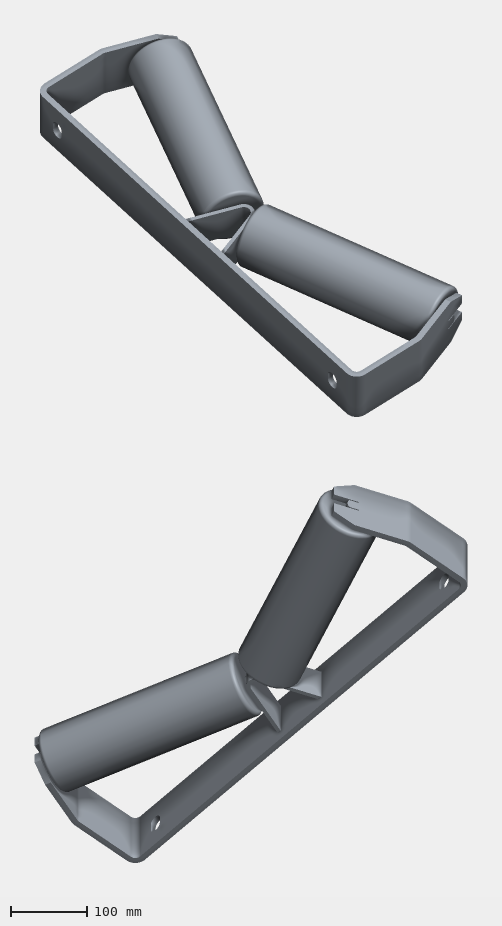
import cadquery as cq
import math


TILT = 20.0
SIN = math.sin(math.radians(TILT))
COS = math.cos(math.radians(TILT))

FRAME_LENGTH = 660.0
STRAP_WIDTH = 80.0
STRAP_THICKNESS = 8.5
BEND_INNER = STRAP_THICKNESS
BEND_OUTER = BEND_INNER + STRAP_THICKNESS
ARM_BEND_Y = 109.0
ARM_TIP_Y = 212.0
TIP_CUT_LENGTH = 29.0
TIP_CUT_WIDTH = 15.0
ARM_SLOT_WIDTH = 17.0
MOUNT_SLOT_X = 283.0
MOUNT_SLOT_WIDTH = 18.0
MOUNT_SLOT_HEIGHT = 27.0

WEDGE_WIDTH = 50.0
WEDGE_THICKNESS = 5.0
WEDGE_TOP_Y = 98.0
WEDGE_OUTER = 14.5
WEDGE_INNER = WEDGE_OUTER - WEDGE_THICKNESS
WEDGE_BEND_Y = WEDGE_TOP_Y - WEDGE_OUTER

ROLLER_DIAMETER = 89.0
ROLLER_FILLET = 5.0
ROLLER_GAP = 3.6
SHAFT_DIAMETER = 20.0
SHAFT_FLATS = 14.0
SHAFT_FROM_TIP = 29.0

HALF_LENGTH = FRAME_LENGTH / 2
BEND_X = HALF_LENGTH - BEND_OUTER
ARM_BEND_OUT = (BEND_X + BEND_OUTER * COS, ARM_BEND_Y + BEND_OUTER * SIN)
ARM_LENGTH = (ARM_TIP_Y - ARM_BEND_OUT[1]) / COS
ARM_TIP = (ARM_BEND_OUT[0] - ARM_LENGTH * SIN, ARM_TIP_Y)
SHAFT_END = (ARM_TIP[0] + SHAFT_FROM_TIP * SIN, ARM_TIP[1] - SHAFT_FROM_TIP * COS)

WEDGE_DISTANCE = SHAFT_END[0] * COS + (SHAFT_END[1] - WEDGE_BEND_Y) * SIN - WEDGE_OUTER
SHAFT_LENGTH = WEDGE_DISTANCE + WEDGE_THICKNESS
ROLLER_START = STRAP_THICKNESS + ROLLER_GAP
ROLLER_LENGTH = WEDGE_DISTANCE - ROLLER_START - ROLLER_GAP

SHAFT_PLANE = cq.Plane(
    origin=(SHAFT_END[0], SHAFT_END[1], 0),
    xDir=(-SIN, COS, 0),
    normal=(-COS, -SIN, 0),
)


def mirrored(body):
    return body.mirror("YZ")


def polar(centre, radius, degrees):
    angle = math.radians(degrees)
    return (centre[0] + radius * math.cos(angle), centre[1] + radius * math.sin(angle))


def flatted_bar(length, across_flats):
    """Bar of the shaft's diameter with two flats, starting at the outer face of the right arm."""
    bar = cq.Workplane(SHAFT_PLANE).circle(SHAFT_DIAMETER / 2).extrude(length)
    flats = cq.Workplane(SHAFT_PLANE).rect(SHAFT_DIAMETER, across_flats).extrude(length)
    return bar.intersect(flats)


def half_strap():
    """Right half of the bent strap, without openings."""
    corner = (BEND_X, BEND_OUTER)
    arm_bend = (BEND_X, ARM_BEND_Y)
    tip_inner = (ARM_TIP[0] - STRAP_THICKNESS * COS, ARM_TIP[1] - STRAP_THICKNESS * SIN)
    return (
        cq.Workplane("XY", origin=(0, 0, -STRAP_WIDTH / 2))
        .moveTo(0, 0)
        .lineTo(BEND_X, 0)
        .threePointArc(polar(corner, BEND_OUTER, -45), (HALF_LENGTH, BEND_OUTER))
        .lineTo(HALF_LENGTH, ARM_BEND_Y)
        .threePointArc(polar(arm_bend, BEND_OUTER, TILT / 2), ARM_BEND_OUT)
        .lineTo(*ARM_TIP)
        .lineTo(*tip_inner)
        .lineTo(*polar(arm_bend, BEND_INNER, TILT))
        .threePointArc(polar(arm_bend, BEND_INNER, TILT / 2), (BEND_X + BEND_INNER, ARM_BEND_Y))
        .lineTo(BEND_X + BEND_INNER, BEND_OUTER)
        .threePointArc(polar(corner, BEND_INNER, -45), (BEND_X, STRAP_THICKNESS))
        .lineTo(0, STRAP_THICKNESS)
        .close()
        .extrude(STRAP_WIDTH)
    )


def arm_corner_cuts():
    """Triangular prisms that bevel both corners of the right arm's tip."""
    edge = STRAP_WIDTH / 2
    cuts = cq.Workplane(SHAFT_PLANE)
    for side in (1, -1):
        cuts = cuts.polyline([
            (SHAFT_FROM_TIP, side * edge),
            (SHAFT_FROM_TIP - TIP_CUT_LENGTH, side * edge),
            (SHAFT_FROM_TIP, side * (edge - TIP_CUT_WIDTH)),
        ]).close()
    return cuts.extrude(STRAP_THICKNESS)


def shaft_slot():
    """Slot with a floor curved like the shaft, running out through the right arm's tip."""
    seat = flatted_bar(STRAP_THICKNESS, ARM_SLOT_WIDTH)
    mouth = (
        cq.Workplane(SHAFT_PLANE)
        .center(SHAFT_FROM_TIP / 2, 0)
        .rect(SHAFT_FROM_TIP, ARM_SLOT_WIDTH)
        .extrude(STRAP_THICKNESS)
    )
    return seat.union(mouth)


def mounting_slot():
    """Upright slot through the frame's base on the right."""
    return (
        cq.Workplane("XZ", origin=(MOUNT_SLOT_X, 0, 0))
        .slot2D(MOUNT_SLOT_HEIGHT, MOUNT_SLOT_WIDTH, 90)
        .extrude(-STRAP_THICKNESS)
    )


def make_frame():
    half = half_strap().cut(arm_corner_cuts()).cut(shaft_slot()).cut(mounting_slot())
    return half.union(mirrored(half))


def make_wedge():
    """Inverted V standing on the frame's base, with a hole for a shaft in each leg."""
    bend = (0, WEDGE_BEND_Y)
    drop = WEDGE_BEND_Y - STRAP_THICKNESS
    outer_foot = (WEDGE_OUTER + drop * SIN) / COS
    inner_foot = (WEDGE_INNER + drop * SIN) / COS
    bent_sheet = (
        cq.Workplane("XY", origin=(0, 0, -WEDGE_WIDTH / 2))
        .moveTo(outer_foot, STRAP_THICKNESS)
        .lineTo(*polar(bend, WEDGE_OUTER, TILT))
        .threePointArc((0, WEDGE_TOP_Y), polar(bend, WEDGE_OUTER, 180 - TILT))
        .lineTo(-outer_foot, STRAP_THICKNESS)
        .lineTo(-inner_foot, STRAP_THICKNESS)
        .lineTo(*polar(bend, WEDGE_INNER, 180 - TILT))
        .threePointArc((0, WEDGE_BEND_Y + WEDGE_INNER), polar(bend, WEDGE_INNER, TILT))
        .lineTo(inner_foot, STRAP_THICKNESS)
        .close()
        .extrude(WEDGE_WIDTH)
    )
    hole = flatted_bar(SHAFT_LENGTH + WEDGE_THICKNESS, SHAFT_FLATS)
    return bent_sheet.cut(hole).cut(mirrored(hole))


def make_roller():
    """Right-hand roller: rounded drum with its flatted shaft standing out at both ends."""
    drum = (
        cq.Workplane(SHAFT_PLANE)
        .workplane(offset=ROLLER_START)
        .circle(ROLLER_DIAMETER / 2)
        .extrude(ROLLER_LENGTH)
        .edges("%CIRCLE")
        .fillet(ROLLER_FILLET)
    )
    return drum.union(flatted_bar(SHAFT_LENGTH, SHAFT_FLATS))


frame = make_frame()
wedge = make_wedge()
rollers = []
for left_hand in (False, True):
    roller = make_roller()
    rollers.append(mirrored(roller) if left_hand else roller)

result = cq.Compound.makeCompound([frame.val(), wedge.val(), *[roller.val() for roller in rollers]])